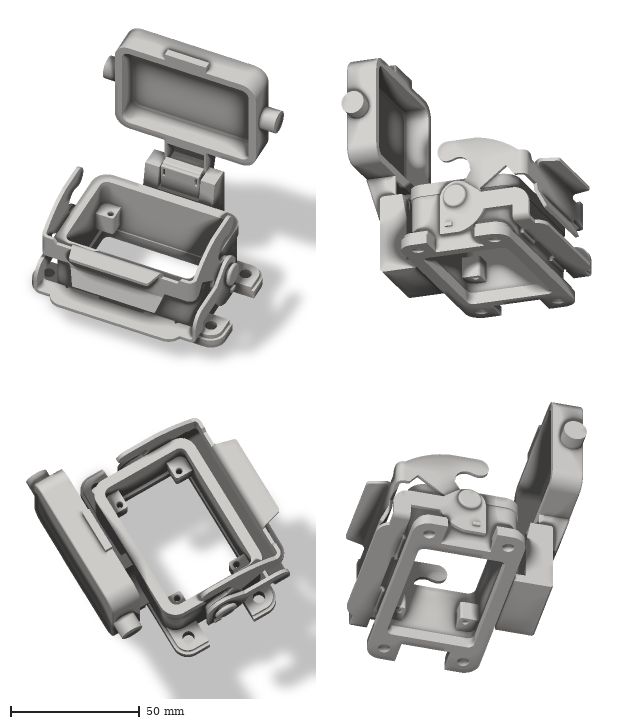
import cadquery as cq
import math


FLANGE_X = 82.5
FLANGE_Y = 45.2
FLANGE_H = 3.8
FLANGE_R = 6.2
STEP_INSET = 1.2
STEP_TOP = 5.6
NOTCH_Y = 20.0
EAR_HOLE_D = 4.8
EAR_HOLE_X = 34.9
EAR_HOLE_Y = 15.9

WALL_X = 61.4
WALL_Y = 43.65
WALL_R = 6.0
RIM_OFFSET = 0.5
RIM_BOTTOM = 24.0
RIM_TOP = 29.0
CAVITY_X = 54.7
CAVITY_Y = 36.4
CAVITY_R = 3.0
OPENING_R = 2.5
LEDGE_X = 1.2
LEDGE_Y = 0.6
LEDGE_TOP = 4.8
MID_WALL_X = (WALL_X + CAVITY_X) / 4
MID_WALL_Y = (WALL_Y + CAVITY_Y) / 4

POST_INNER_X = 19.7
POST_INNER_Y = 10.9
POST_BOTTOM = 9.0
POST_TOP = 17.4
POST_R = 1.1
POST_HOLE_D = 2.5
POST_HOLE_EDGE = 0.3
POST_HOLE_X = 22.0
POST_HOLE_Y = 13.4

LID_BACK = 47.5
LID_FRONT = 35.1
LID_X = 60.7
LID_BOTTOM = 43.6
LID_TOP = 86.9
LID_R = 6.3
LID_EDGE_R = 0.8
LID_WALL = 3.1
LID_CAVITY_R = 3.2
LID_FLOOR = 2.6
LID_CAVITY_EDGE = 1.2
LID_CAVITY_EDGE_Y = 0.7
LID_PIN_R = 4.6
LID_PIN_SPAN = 73.6
LID_PIN_Y = 42.6
TAB_X = 17.8
TAB_Y = 3.1
TAB_TOP = 90.0

ARM_X = TAB_X
ARM_BOTTOM = 26.1
ARM_BOTTOM_BACK = 42.1
ARM_CHEEK = 0.8
RECESS_BACK = 42.2
RECESS_FLOOR = 31.6
RECESS_TOP = 42.1
LEAF_TOP = 34.8
LEAF_T = 1.2
LEAF_FRONT = 31.3
LEAF_EDGE_R = 1.1

BRACKET_X = 29.9
BRACKET_BACK = 39.2
BRACKET_FRONT_TOP = 30.15
BRACKET_FRONT = 28.35
BRACKET_BOTTOM = 1.5
BRACKET_TOP = 33.1
BRACKET_CHAMFER = 0.8
SLOT_FLOOR = 23.1
FOOT_FRONT = 23.6
LINK_TOP = 22.6
LINK_SLAB_TOP = 5.2
RIB_HALF_X = 2.8
RIB_R = 8.0
PANEL_FRONT = 30.1
PANEL_T = 0.9
SLIT_X = 6.9
SLIT_W = 1.1
SLIT_END_R = 0.45
SLIT_BOTTOM = 29.25
CURL_R = 0.5

PIVOT_Z = 20.1
HEAD_R = 4.7
HEAD_T = 1.6
HEAD_EDGE = 0.7
PIVOT_R = 2.6
PIVOT_END = 37.5

SHEET = 1.4
BRACE_OUT = 34.8
BRACE_EYE_R = 6.9
EYE_END_ANGLE = 126.0
BRACE_FRONT = -30.1
BRACE_REAR = -23.3
BRACE_ARM_TOP = 21.1
BRACE_ARM_BOTTOM = 13.9
BRACE_ELBOW_R = 6.6
BRACE_BOTTOM = 5.6
SHOULDER = (-9.1, 22.0)
SHOULDER_FOOT_Y = -9.9
SKIRT_FRONT_Y = -11.4
SKIRT_MID = (-7.4, 8.5)
SKIRT_FLAT_Y = -1.35
BRACE_SHELF = 7.8
BRACE_LEG_BOTTOM = 10.4
BRACE_BEND_R = 2.5
BULGE_FRONT = -33.9
BULGE_X = 27.8
BULGE_FLAT_X = 22.5
BULGE_MID_X = 25.6
BULGE_MID_Y = -32.9
STOP_REAR = 4.6
STOP_L = 3.1
STOP_BOTTOM = 8.3
STOP_TOP = 9.8
STOP_OUT = 1.1
SHELF_LIP_X = 9.7
SHELF_LIP_END = 22.5
SHELF_LIP_BOTTOM = 6.75
SHELF_LIP_TOP = 8.4
SHELF_LIP_REAR = -22.05
WINDOW_FRONT = -24.4
WINDOW_R = 0.9
NOTCH_TIP_X = 23.4
NOTCH_END_X = 24.5

LEVER_OUT = 33.0
LEVER_T = 1.5
HOOK_R = 4.1
HOOK_Y = 4.5
HOOK_Z = 40.7
HOOK_BACK_Y = -7.65
BACK_CURVE_MID = (-17.1, 42.1)
HOOK_SEAT_R = 4.9
HOOK_SEAT_Z = 32.8
SEAT_START_ANGLE = 60.0
NECK_FRONT = (-9.2, 23.5)
NECK_REAR = (-3.0, 27.6)
NECK_NICK = (-5.2, 31.6)
FRONT_NICK = (-19.9, 31.6)
LEVER_EYE_R = 6.3
LEVER_TAIL_R = 9.9
STRAP_FRONT = -28.2
STRAP_SIDE = -25.1
STRAP_BOTTOM = 27.45
STRAP_TOP = 37.35
STRAP_EDGE = 35.3
STRAP_EDGE_X = 26.0
STRAP_SHOULDER_X = 27.45
STRAP_BEND_R = 3.0
STRAP_BACK = STRAP_FRONT + SHEET
GRIP_TOP = 38.4
GRIP_FRONT = -36.2
GRIP_T = 1.35
GRIP_BEND_R = 2.7
GRIP_BACK_X = 19.4
GRIP_FRONT_X = 16.9
APRON_BOTTOM = 18.1
APRON_BOTTOM_Y = -30.1
APRON_TIP = (-31.3, 18.7)
APRON_BEND_BACK = 24.9
APRON_BEND_FRONT = 25.3
APRON_TOP_X = 20.5
APRON_BOTTOM_X = 17.55
CORNER_R = 1.35


def box(x0, x1, y0, y1, z0, z1):
    return cq.Workplane("XY").box(x1 - x0, y1 - y0, z1 - z0, centered=False).translate((x0, y0, z0))


def rounded_block(size_x, size_y, radius, z0, z1):
    block = cq.Workplane("XY").workplane(offset=z0).rect(size_x, size_y).extrude(z1 - z0)
    return block.edges("|Z").fillet(radius)


def both_sides(solid):
    return solid.union(solid.mirror("YZ"))


def make_housing():
    flange = rounded_block(FLANGE_X, FLANGE_Y, FLANGE_R, 0, FLANGE_H)
    step = rounded_block(
        FLANGE_X - 2 * STEP_INSET, FLANGE_Y - 2 * STEP_INSET, FLANGE_R - STEP_INSET, 0, STEP_TOP
    )
    ears = flange.union(step).cut(
        cq.Workplane("XY").rect(FLANGE_X, NOTCH_Y).extrude(STEP_TOP)
    )
    ear_holes = (
        cq.Workplane("XY")
        .rect(2 * EAR_HOLE_X, 2 * EAR_HOLE_Y, forConstruction=True)
        .vertices()
        .circle(EAR_HOLE_D / 2)
        .extrude(STEP_TOP)
    )
    walls = rounded_block(WALL_X, WALL_Y, WALL_R, 0, RIM_BOTTOM)
    rim = rounded_block(
        WALL_X + 2 * RIM_OFFSET, WALL_Y + 2 * RIM_OFFSET, WALL_R + RIM_OFFSET, RIM_BOTTOM, RIM_TOP
    )
    cavity = rounded_block(CAVITY_X, CAVITY_Y, CAVITY_R, LEDGE_TOP, RIM_TOP)
    opening = rounded_block(CAVITY_X - 2 * LEDGE_X, CAVITY_Y - 2 * LEDGE_Y, OPENING_R, 0, LEDGE_TOP)
    return ears.cut(ear_holes).union(walls).union(rim).cut(cavity).cut(opening)


def make_posts():
    post = box(POST_INNER_X, MID_WALL_X, POST_INNER_Y, MID_WALL_Y, POST_BOTTOM, POST_TOP)
    post = post.edges("|Z").edges("<X and <Y").fillet(POST_R)
    post = post.intersect(rounded_block(WALL_X, WALL_Y, WALL_R, POST_BOTTOM, POST_TOP))
    hole = (
        cq.Workplane("XY", origin=(POST_HOLE_X, POST_HOLE_Y, POST_BOTTOM))
        .circle(POST_HOLE_D / 2)
        .extrude(POST_TOP - POST_BOTTOM)
    )
    top_edge = cq.Solid.makeCone(
        POST_HOLE_D / 2,
        POST_HOLE_D / 2 + POST_HOLE_EDGE,
        POST_HOLE_EDGE,
        cq.Vector(POST_HOLE_X, POST_HOLE_Y, POST_TOP - POST_HOLE_EDGE),
    )
    pair = both_sides(post.cut(hole).cut(cq.Workplane(top_edge)))
    return pair.union(pair.mirror("XZ"))


def make_lid():
    lid_mid_z = (LID_BOTTOM + LID_TOP) / 2
    lid_z = LID_TOP - LID_BOTTOM
    depth = LID_BACK - LID_FRONT
    front_plane = cq.Workplane("XZ", origin=(0, LID_FRONT, lid_mid_z))
    shell = front_plane.rect(LID_X, lid_z).extrude(-depth).edges("|Y").fillet(LID_R)
    shell = shell.faces(">Y").edges().fillet(LID_EDGE_R)
    pocket = front_plane.rect(LID_X - 2 * LID_WALL, lid_z - 2 * LID_WALL).extrude(LID_FLOOR - depth)
    pocket = pocket.edges("|Y").fillet(LID_CAVITY_R)
    pocket = pocket.faces(">Y").chamfer(LID_CAVITY_EDGE_Y, LID_CAVITY_EDGE)
    pins = (
        cq.Workplane("YZ", origin=(-LID_PIN_SPAN / 2, LID_PIN_Y, lid_mid_z))
        .circle(LID_PIN_R)
        .extrude(LID_PIN_SPAN)
    )
    tab = box(-TAB_X / 2, TAB_X / 2, LID_FRONT, LID_FRONT + TAB_Y, LID_TOP - LID_WALL, TAB_TOP)
    return shell.union(pins).union(tab).cut(pocket)


def make_hinge_arm():
    """Tapered arm under the cover with a recess in front, and the spring leaf at its front edge."""
    arm = (
        cq.Workplane("YZ")
        .polyline([
            (LID_FRONT, ARM_BOTTOM),
            (ARM_BOTTOM_BACK, ARM_BOTTOM),
            (LID_BACK, LID_BOTTOM),
            (LID_FRONT, LID_BOTTOM),
        ])
        .close()
        .extrude(ARM_X / 2, both=True)
    )
    slope_middle = (0, (ARM_BOTTOM_BACK + LID_BACK) / 2, (ARM_BOTTOM + LID_BOTTOM) / 2)
    arm = arm.faces(cq.NearestToPointSelector(slope_middle)).edges("not |X").fillet(LID_EDGE_R)
    inner_x = ARM_X / 2 - ARM_CHEEK
    recess = box(-inner_x, inner_x, LID_FRONT, RECESS_BACK, RECESS_FLOOR, RECESS_TOP)
    leaf = box(-inner_x, inner_x, LEAF_FRONT, LID_FRONT, LEAF_TOP - LEAF_T, LEAF_TOP)
    leaf = leaf.edges("|X and <Y and >Z").fillet(LEAF_EDGE_R)
    return arm.cut(recess).union(leaf)


def make_hinge_bracket():
    half_x = BRACKET_X / 2
    bracket = (
        cq.Workplane("YZ")
        .polyline([
            (BRACKET_BACK, BRACKET_BOTTOM),
            (BRACKET_BACK, BRACKET_TOP),
            (BRACKET_FRONT_TOP, BRACKET_TOP),
            (BRACKET_FRONT, SLOT_FLOOR),
            (BRACKET_FRONT, FLANGE_H),
            (FOOT_FRONT, FLANGE_H),
            (FOOT_FRONT, BRACKET_BOTTOM),
        ])
        .close()
        .extrude(half_x, both=True)
    )
    bracket = bracket.faces(">Y").edges("|X").chamfer(BRACKET_CHAMFER)
    slot = box(-ARM_X / 2, ARM_X / 2, BRACKET_FRONT, BRACKET_BACK, SLOT_FLOOR, BRACKET_TOP)
    return bracket.cut(slot)


def make_link():
    """Central rib flaring into a slab that joins the bracket to the housing."""
    half_x = BRACKET_X / 2
    flare_x = RIB_HALF_X + RIB_R
    flare_z = LINK_SLAB_TOP + RIB_R
    mid = RIB_R * (1 - math.sqrt(0.5))
    half = (
        cq.Workplane("XZ", origin=(0, BRACKET_FRONT, 0))
        .moveTo(0, FLANGE_H)
        .lineTo(half_x, FLANGE_H)
        .lineTo(half_x, LINK_SLAB_TOP)
        .lineTo(flare_x, LINK_SLAB_TOP)
        .threePointArc((RIB_HALF_X + mid, LINK_SLAB_TOP + mid), (RIB_HALF_X, flare_z))
        .lineTo(RIB_HALF_X, LINK_TOP)
        .lineTo(0, LINK_TOP)
        .close()
        .extrude(BRACKET_FRONT - MID_WALL_Y)
    )
    return both_sides(half)


def make_spring_panel():
    """Upright spring sheet in the bracket slot, slit near both ends and joined to the leaf."""
    half_x = ARM_X / 2 - ARM_CHEEK
    back = PANEL_FRONT + PANEL_T
    sheet = box(-half_x, half_x, PANEL_FRONT, back, SLOT_FLOOR, BRACKET_TOP)
    curl = box(-half_x, half_x, PANEL_FRONT, LEAF_FRONT + PANEL_T, BRACKET_TOP, LEAF_TOP - LEAF_T / 2)
    curl = curl.edges("|X and <Y and >Z").fillet(CURL_R)
    slit = box(SLIT_X - SLIT_W / 2, SLIT_X + SLIT_W / 2, PANEL_FRONT, back, SLIT_BOTTOM, BRACKET_TOP)
    slit = slit.faces("<Z").edges("|Y").fillet(SLIT_END_R)
    return sheet.union(curl).cut(both_sides(slit))


def make_pivot_pin():
    head_start = PIVOT_END - HEAD_T
    plane = cq.Workplane("YZ", origin=(0, 0, PIVOT_Z))
    stem = plane.workplane(offset=MID_WALL_X).circle(PIVOT_R).extrude(head_start - MID_WALL_X)
    head = plane.workplane(offset=head_start).circle(HEAD_R).extrude(HEAD_T).edges().fillet(HEAD_EDGE)
    return stem.union(head)


def make_brace_side():
    """Side sheet of the spring bracket: eye round the pivot, arm forward and leg down to the shelf."""
    eye_mid = BRACE_EYE_R * math.sqrt(0.5)
    eye_end_angle = math.radians(EYE_END_ANGLE)
    eye_end = (
        BRACE_EYE_R * math.cos(eye_end_angle),
        PIVOT_Z + BRACE_EYE_R * math.sin(eye_end_angle),
    )
    elbow_mid = BRACE_ELBOW_R * (1 - math.sqrt(0.5))
    sheet = (
        cq.Workplane("YZ", origin=(BRACE_OUT - SHEET, 0, 0))
        .moveTo(BRACE_EYE_R, PIVOT_Z)
        .threePointArc((eye_mid, PIVOT_Z + eye_mid), eye_end)
        .lineTo(*SHOULDER)
        .lineTo(SHOULDER_FOOT_Y, BRACE_ARM_TOP)
        .lineTo(BRACE_FRONT + BRACE_ELBOW_R, BRACE_ARM_TOP)
        .threePointArc(
            (BRACE_FRONT + elbow_mid, BRACE_ARM_TOP - elbow_mid),
            (BRACE_FRONT, BRACE_ARM_TOP - BRACE_ELBOW_R),
        )
        .lineTo(BRACE_FRONT, BRACE_LEG_BOTTOM)
        .lineTo(BRACE_REAR, BRACE_LEG_BOTTOM)
        .lineTo(BRACE_REAR, BRACE_ARM_BOTTOM)
        .lineTo(SKIRT_FRONT_Y, BRACE_ARM_BOTTOM)
        .threePointArc(SKIRT_MID, (SKIRT_FLAT_Y, BRACE_BOTTOM))
        .lineTo(BRACE_EYE_R, BRACE_BOTTOM)
        .close()
        .extrude(SHEET)
    )
    stop = box(
        BRACE_OUT, BRACE_OUT + STOP_OUT, STOP_REAR - STOP_L, STOP_REAR, STOP_BOTTOM, STOP_TOP
    )
    return sheet.union(stop)


def make_brace_shelf():
    """Shelf under the lever with bent-up ends and a bulged front edge."""
    shelf_top = BRACE_SHELF + SHEET
    outer = box(-BRACE_OUT, BRACE_OUT, BRACE_FRONT, BRACE_REAR, BRACE_SHELF, BRACE_LEG_BOTTOM)
    outer = outer.faces("<Z").edges("|Y").fillet(BRACE_BEND_R)
    inner_x = BRACE_OUT - SHEET
    inner = box(-inner_x, inner_x, BRACE_FRONT, BRACE_REAR, shelf_top, BRACE_LEG_BOTTOM)
    inner = inner.faces("<Z").edges("|Y").fillet(BRACE_BEND_R - SHEET)
    bulge = (
        cq.Workplane("XY", origin=(0, 0, BRACE_SHELF))
        .moveTo(-BULGE_X, BRACE_FRONT)
        .threePointArc((-BULGE_MID_X, BULGE_MID_Y), (-BULGE_FLAT_X, BULGE_FRONT))
        .lineTo(BULGE_FLAT_X, BULGE_FRONT)
        .threePointArc((BULGE_MID_X, BULGE_MID_Y), (BULGE_X, BRACE_FRONT))
        .close()
        .extrude(SHEET)
    )
    window = box(-SHELF_LIP_X, SHELF_LIP_X, WINDOW_FRONT, BRACE_REAR, BRACE_SHELF, shelf_top)
    window = window.edges("|Z and <Y").fillet(WINDOW_R)
    notch = (
        cq.Workplane("XY", origin=(0, 0, BRACE_SHELF))
        .polyline([(SHELF_LIP_END, BRACE_REAR), (NOTCH_TIP_X, WINDOW_FRONT), (NOTCH_END_X, BRACE_REAR)])
        .close()
        .extrude(SHEET)
    )
    lip = (
        cq.Workplane("YZ", origin=(SHELF_LIP_X, 0, 0))
        .polyline([
            (BRACE_REAR, BRACE_SHELF),
            (BRACE_REAR, SHELF_LIP_BOTTOM),
            (SHELF_LIP_REAR, SHELF_LIP_BOTTOM),
            (SHELF_LIP_REAR, SHELF_LIP_TOP),
            (BRACE_REAR, shelf_top),
        ])
        .close()
        .extrude(SHELF_LIP_END - SHELF_LIP_X)
    )
    return outer.cut(inner).union(bulge).cut(window).cut(both_sides(notch)).union(both_sides(lip))


def make_lever_side():
    """Side sheet of the lever: hook and seat for the cover pin, neck, and disc behind the bracket."""
    seat_start = math.radians(SEAT_START_ANGLE)
    tail_mid = LEVER_TAIL_R * math.sqrt(0.5)
    eye_mid = LEVER_EYE_R * math.sqrt(0.5)
    return (
        cq.Workplane("YZ", origin=(LEVER_OUT - LEVER_T, 0, 0))
        .moveTo(HOOK_BACK_Y, HOOK_Z + HOOK_R)
        .lineTo(HOOK_Y, HOOK_Z + HOOK_R)
        .threePointArc((HOOK_Y + HOOK_R, HOOK_Z), (HOOK_Y, HOOK_Z - HOOK_R))
        .lineTo(HOOK_SEAT_R * math.cos(seat_start), HOOK_SEAT_Z + HOOK_SEAT_R * math.sin(seat_start))
        .threePointArc((0, HOOK_SEAT_Z + HOOK_SEAT_R), (-HOOK_SEAT_R, HOOK_SEAT_Z))
        .lineTo(*NECK_NICK)
        .lineTo(*NECK_REAR)
        .lineTo(0, PIVOT_Z + LEVER_EYE_R)
        .threePointArc((eye_mid, PIVOT_Z + eye_mid), (LEVER_EYE_R, PIVOT_Z))
        .lineTo(LEVER_EYE_R, PIVOT_Z - LEVER_EYE_R)
        .lineTo(0, PIVOT_Z - LEVER_TAIL_R)
        .threePointArc((-tail_mid, PIVOT_Z - tail_mid), (-LEVER_TAIL_R, PIVOT_Z))
        .lineTo(*NECK_FRONT)
        .lineTo(*FRONT_NICK)
        .lineTo(BRACE_REAR, STRAP_BOTTOM)
        .lineTo(STRAP_SIDE, STRAP_BOTTOM)
        .lineTo(STRAP_SIDE, STRAP_TOP)
        .threePointArc(BACK_CURVE_MID, (HOOK_BACK_Y, HOOK_Z + HOOK_R))
        .close()
        .extrude(LEVER_T)
    )


def make_strap():
    """Front strap of the lever, bent round at both ends into the side sheets."""
    inner_x = LEVER_OUT - LEVER_T
    outer = box(-LEVER_OUT, LEVER_OUT, STRAP_FRONT, STRAP_SIDE, STRAP_BOTTOM, GRIP_TOP)
    outer = outer.edges("|Z and <Y").fillet(STRAP_BEND_R)
    inner = box(-inner_x, inner_x, STRAP_BACK, STRAP_SIDE, STRAP_BOTTOM, GRIP_TOP)
    inner = inner.edges("|Z and <Y").fillet(STRAP_BEND_R - SHEET)
    front = (
        cq.Workplane("XZ", origin=(0, STRAP_SIDE, 0))
        .polyline([
            (LEVER_OUT, STRAP_BOTTOM),
            (LEVER_OUT, STRAP_TOP),
            (STRAP_SHOULDER_X, STRAP_TOP),
            (STRAP_EDGE_X, STRAP_EDGE),
            (-STRAP_EDGE_X, STRAP_EDGE),
            (-STRAP_SHOULDER_X, STRAP_TOP),
            (-LEVER_OUT, STRAP_TOP),
            (-LEVER_OUT, STRAP_BOTTOM),
        ])
        .close()
        .extrude(STRAP_SIDE - STRAP_FRONT)
    )
    return outer.cut(inner).intersect(front)


def make_grip():
    """Finger tab bent forward from the strap's top edge, tapering to the front."""
    inner_r = GRIP_BEND_R - SHEET
    outer_mid = GRIP_BEND_R * (1 - math.sqrt(0.5))
    inner_mid = inner_r * (1 - math.sqrt(0.5))
    under = GRIP_TOP - GRIP_T
    foot = STRAP_EDGE - SHEET
    side = (
        cq.Workplane("YZ")
        .moveTo(STRAP_BACK, foot)
        .lineTo(STRAP_BACK, GRIP_TOP - GRIP_BEND_R)
        .threePointArc((STRAP_BACK - outer_mid, GRIP_TOP - outer_mid), (STRAP_BACK - GRIP_BEND_R, GRIP_TOP))
        .lineTo(GRIP_FRONT, GRIP_TOP)
        .lineTo(GRIP_FRONT, under)
        .lineTo(STRAP_FRONT - inner_r, under)
        .threePointArc((STRAP_FRONT - inner_mid, under - inner_mid), (STRAP_FRONT, under - inner_r))
        .lineTo(STRAP_FRONT, foot)
        .close()
        .extrude(GRIP_BACK_X, both=True)
    )
    plan = (
        cq.Workplane("XY", origin=(0, 0, foot))
        .polyline([
            (-GRIP_BACK_X, STRAP_BACK),
            (-GRIP_FRONT_X, GRIP_FRONT),
            (GRIP_FRONT_X, GRIP_FRONT),
            (GRIP_BACK_X, STRAP_BACK),
        ])
        .close()
        .extrude(GRIP_TOP - foot)
        .edges("|Z and <Y")
        .fillet(CORNER_R)
    )
    return side.intersect(plan)


def make_apron():
    """Guard hanging from the strap's bottom edge and sloping forward."""
    side = (
        cq.Workplane("YZ")
        .polyline([
            (STRAP_BACK, STRAP_BOTTOM),
            (STRAP_BACK, APRON_BEND_BACK),
            (APRON_BOTTOM_Y, APRON_BOTTOM),
            APRON_TIP,
            (STRAP_FRONT, APRON_BEND_FRONT),
            (STRAP_FRONT, STRAP_BOTTOM),
        ])
        .close()
        .extrude(APRON_TOP_X, both=True)
    )
    front = (
        cq.Workplane("XZ", origin=(0, STRAP_BACK, 0))
        .polyline([
            (-APRON_TOP_X, STRAP_BOTTOM),
            (-APRON_BOTTOM_X, APRON_BOTTOM),
            (APRON_BOTTOM_X, APRON_BOTTOM),
            (APRON_TOP_X, STRAP_BOTTOM),
        ])
        .close()
        .extrude(STRAP_BACK - APRON_TIP[0])
        .edges("|Y and <Z")
        .fillet(CORNER_R)
    )
    return side.intersect(front)


result = make_housing().union(make_posts())
result = result.union(make_lid()).union(make_hinge_arm())
result = result.union(make_hinge_bracket()).union(make_link()).union(make_spring_panel())
result = result.union(both_sides(make_brace_side())).union(make_brace_shelf())
result = result.union(both_sides(make_lever_side())).union(make_strap())
result = result.union(make_grip()).union(make_apron())
result = result.union(both_sides(make_pivot_pin()))